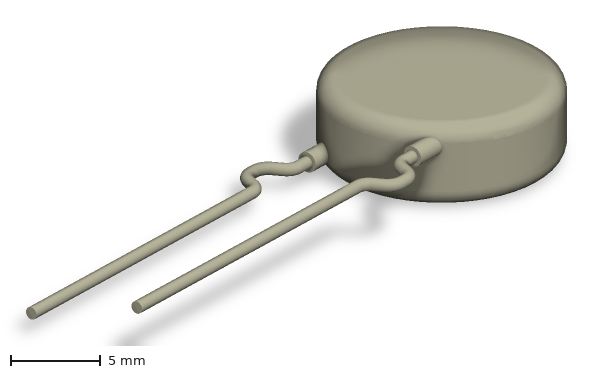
import cadquery as cq
import math

DISC_DIAMETER = 14.0
DISC_HEIGHT = 5.0
EDGE_RADIUS = 1.02

OVERALL_LENGTH = 39.38
LEAD_SPACING = 7.5
LEAD_STEP = 2.55
LEAD_DIAMETER = 0.75
SLEEVE_DIAMETER = 1.22
SLEEVE_PROTRUSION = 0.4

KINK_START = 0.83
KINK_ANGLE = 63.0
OUTER_BEND_RADIUS = 0.8
APEX_BEND_RADIUS = 1.0
LINK_LENGTH = 0.7
APEX_LENGTH = 0.35

DISC_RADIUS = DISC_DIAMETER / 2
SLEEVE_ROOT_Y = -DISC_RADIUS / 2
SLEEVE_END_Y = -DISC_RADIUS - SLEEVE_PROTRUSION
LEAD_TIP_Y = DISC_RADIUS - OVERALL_LENGTH
SIDES = (-1, 1)


def lead_workplane(side, y):
    """Plane square to the lead, centred on it, with its normal along -Y."""
    origin = (side * LEAD_SPACING / 2, y, side * LEAD_STEP / 2)
    return cq.Workplane(cq.Plane(origin=origin, xDir=(1, 0, 0), normal=(0, -1, 0)))


def make_coating():
    """Rounded disc with one sleeve around the root of each lead."""
    coating = cq.Workplane("XY").cylinder(DISC_HEIGHT, DISC_RADIUS)
    coating = coating.edges("%CIRCLE").fillet(EDGE_RADIUS)
    for side in SIDES:
        sleeve = lead_workplane(side, SLEEVE_ROOT_Y).circle(SLEEVE_DIAMETER / 2)
        coating = coating.union(sleeve.extrude(SLEEVE_ROOT_Y - SLEEVE_END_Y))
    return coating


def kink_segments():
    """Size and turn in degrees (positive is outward) of each piece of the kink, in order.

    The size of a straight is its length, and its turn is zero. The size of a bend is its radius.
    """
    outer_bend = (OUTER_BEND_RADIUS, KINK_ANGLE)
    link = (LINK_LENGTH, 0)
    apex_bend = (APEX_BEND_RADIUS, -KINK_ANGLE)
    apex = (APEX_LENGTH, 0)
    return [outer_bend, link, apex_bend, apex, apex_bend, link, outer_bend]


def lead_path(side):
    """Centre line of a lead, from the sleeve end to the tip."""
    x = 0.0
    y = SLEEVE_END_Y - KINK_START
    heading = 0.0

    def place(outward, along):
        return cq.Vector(side * (LEAD_SPACING / 2 + outward), along, side * LEAD_STEP / 2)

    edges = [cq.Edge.makeLine(place(0, SLEEVE_END_Y), place(x, y))]
    for size, turn in kink_segments():
        chord_heading = math.radians(heading + turn / 2)
        chord = size if turn == 0 else 2 * size * math.sin(math.radians(abs(turn) / 2))
        end_x = x + chord * math.sin(chord_heading)
        end_y = y - chord * math.cos(chord_heading)
        if turn == 0:
            edges.append(cq.Edge.makeLine(place(x, y), place(end_x, end_y)))
        else:
            start_heading = math.radians(heading)
            tangent = cq.Vector(side * math.sin(start_heading), -math.cos(start_heading), 0)
            edges.append(cq.Edge.makeTangentArc(place(x, y), tangent, place(end_x, end_y)))
        x = end_x
        y = end_y
        heading += turn
    edges.append(cq.Edge.makeLine(place(x, y), place(0, LEAD_TIP_Y)))
    return cq.Wire.assembleEdges(edges)


def make_lead(side):
    """Round wire that butts against the end of its sleeve."""
    return lead_workplane(side, SLEEVE_END_Y).circle(LEAD_DIAMETER / 2).sweep(lead_path(side))


coating = make_coating()
leads = [make_lead(side) for side in SIDES]

result = cq.Compound.makeCompound([coating.val(), *[lead.val() for lead in leads]])